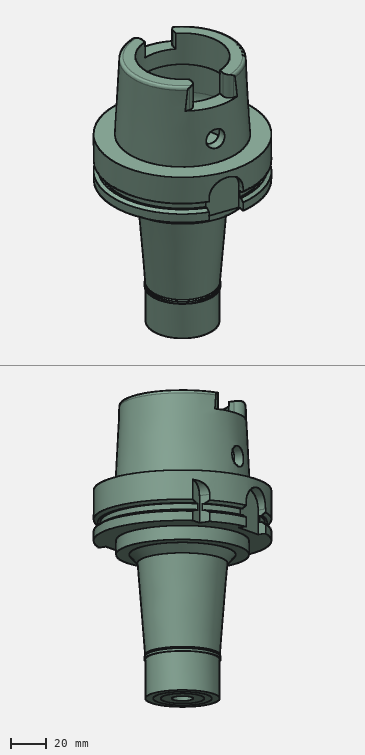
import cadquery as cq
import math


TOTAL_LENGTH = 170.0
SHANK_HEIGHT = 50.0
BOTTOM_Z = SHANK_HEIGHT - TOTAL_LENGTH

SHANK_BASE_R = 38.0
SHANK_TOP_R = 35.5
SHANK_TOP_FILLET = 2.0

DRIVE_SLOT_HALF_WIDTH = 10.0
DRIVE_SLOT_CORNER_R = 4.2
DRIVE_LAND_HALF_LENGTH = 32.1
DRIVE_SLOT_DEPTHS = {-1: 10.0, 1: 15.0}

MOUTH_R = 26.5
MOUTH_DEPTH = 20.0
UNDERCUT_R = 31.5
UNDERCUT_ARC_R = 13.6
UNDERCUT_ARC_DEPTH = 40.5
CAVITY_DEPTH = 60.7
CROSS_HOLE_R = 6.0
CROSS_HOLE_Z = 15.0

FLANGE_R = 50.0
FLANGE_HEIGHT = 29.0
GROOVE_Z = -20.2
GROOVE_R = 46.2
GROOVE_HALF_WIDTH = 1.9
GROOVE_FLANK_R = 47.6
GROOVE_MOUTH_HALF_WIDTH = 3.4

KEYWAY_HALF_WIDTHS = {-1: 10.0, 1: 11.0}
KEYWAY_FLOOR_X = 44.0
KEYWAY_ARCH_Z = -14.8
NOTCH_R = 8.0
NOTCH_CORNER = 31.8
NOTCH_ARCH_Z = -13.3

COLLAR_R = 37.4
COLLAR_END_Z = -37.0
SHOULDER_TOP_R = 30.0
SHOULDER_HEIGHT = 5.0
STEM_TOP_R = 25.3
STEM_END_R = 21.0
STEM_END_Z = -95.0
NOSE_R = 16.5

NUT_GAP = 1.0
NUT_R = 20.9
NUT_RIM_R = 21.5
NUT_RIM_HEIGHT = 1.5
NUT_TOP_Z = STEM_END_Z - NUT_GAP

COLLET_R = 12.2
COLLET_BORE_R = 6.0
COLLET_LENGTH = 42.5


def cylinder(radius, bottom_z, top_z):
    """Solid cylinder on the Z axis."""
    return cq.Workplane("XY").workplane(offset=bottom_z).circle(radius).extrude(top_z - bottom_z)


def revolve_about_z(profile):
    """Full turn of a closed XZ profile about the Z axis."""
    return profile.close().revolve(360, (0, 0, 0), (0, 1, 0))


def holder_blank():
    """Outside of the holder: shank, grooved flange, collar, stem and nose."""
    profile = (
        cq.Workplane("XZ")
        .moveTo(0, BOTTOM_Z)
        .lineTo(NOSE_R, BOTTOM_Z)
        .lineTo(NOSE_R, STEM_END_Z)
        .lineTo(STEM_END_R, STEM_END_Z)
        .lineTo(STEM_TOP_R, COLLAR_END_Z - SHOULDER_HEIGHT)
        .lineTo(SHOULDER_TOP_R, COLLAR_END_Z)
        .lineTo(COLLAR_R, COLLAR_END_Z)
        .lineTo(COLLAR_R, -FLANGE_HEIGHT)
        .lineTo(FLANGE_R, -FLANGE_HEIGHT)
        .lineTo(FLANGE_R, GROOVE_Z - GROOVE_MOUTH_HALF_WIDTH)
        .lineTo(GROOVE_FLANK_R, GROOVE_Z - GROOVE_HALF_WIDTH)
        .lineTo(GROOVE_R, GROOVE_Z - GROOVE_HALF_WIDTH)
        .lineTo(GROOVE_R, GROOVE_Z + GROOVE_HALF_WIDTH)
        .lineTo(GROOVE_FLANK_R, GROOVE_Z + GROOVE_HALF_WIDTH)
        .lineTo(FLANGE_R, GROOVE_Z + GROOVE_MOUTH_HALF_WIDTH)
        .lineTo(FLANGE_R, 0)
        .lineTo(SHANK_BASE_R, 0)
        .lineTo(SHANK_TOP_R, SHANK_HEIGHT)
        .lineTo(0, SHANK_HEIGHT)
    )
    return revolve_about_z(profile).faces(">Z").edges().fillet(SHANK_TOP_FILLET)


def shank_cavity():
    """Bore of the shank, widened behind its mouth by an undercut that runs out in an arc."""
    mouth_end_z = SHANK_HEIGHT - MOUTH_DEPTH
    arc_z = SHANK_HEIGHT - UNDERCUT_ARC_DEPTH
    floor_z = SHANK_HEIGHT - CAVITY_DEPTH
    arc_center_r = UNDERCUT_R - UNDERCUT_ARC_R
    arc_sweep = math.acos((MOUTH_R - arc_center_r) / UNDERCUT_ARC_R)

    def arc_point(angle):
        return (
            arc_center_r + UNDERCUT_ARC_R * math.cos(angle),
            arc_z - UNDERCUT_ARC_R * math.sin(angle),
        )

    profile = (
        cq.Workplane("XZ")
        .moveTo(0, SHANK_HEIGHT)
        .lineTo(MOUTH_R, SHANK_HEIGHT)
        .lineTo(MOUTH_R, mouth_end_z)
        .lineTo(UNDERCUT_R, mouth_end_z)
        .lineTo(UNDERCUT_R, arc_z)
        .threePointArc(arc_point(arc_sweep / 2), arc_point(arc_sweep))
        .lineTo(MOUTH_R, floor_z)
        .lineTo(0, floor_z)
    )
    return revolve_about_z(profile)


def cross_hole():
    """Round hole along X through both walls of the shank."""
    return (
        cq.Workplane("YZ")
        .center(0, CROSS_HOLE_Z)
        .circle(CROSS_HOLE_R)
        .extrude(SHANK_BASE_R, both=True)
    )


def drive_slot(side):
    """Rim slot on one X side, flaring through rounded corners to the outside of the shank."""
    reach = FLANGE_R
    flare_y = DRIVE_SLOT_HALF_WIDTH + DRIVE_SLOT_CORNER_R
    corner_x = DRIVE_LAND_HALF_LENGTH - DRIVE_SLOT_CORNER_R
    arc_offset = DRIVE_SLOT_CORNER_R * math.cos(math.radians(45))
    arc_x = corner_x + arc_offset
    arc_y = flare_y - arc_offset
    return (
        cq.Workplane("XY")
        .workplane(offset=SHANK_HEIGHT - DRIVE_SLOT_DEPTHS[side])
        .moveTo(0, DRIVE_SLOT_HALF_WIDTH)
        .lineTo(side * corner_x, DRIVE_SLOT_HALF_WIDTH)
        .threePointArc((side * arc_x, arc_y), (side * DRIVE_LAND_HALF_LENGTH, flare_y))
        .lineTo(side * DRIVE_LAND_HALF_LENGTH, reach)
        .lineTo(side * reach, reach)
        .lineTo(side * reach, -reach)
        .lineTo(side * DRIVE_LAND_HALF_LENGTH, -reach)
        .lineTo(side * DRIVE_LAND_HALF_LENGTH, -flare_y)
        .threePointArc((side * arc_x, -arc_y), (side * corner_x, -DRIVE_SLOT_HALF_WIDTH))
        .lineTo(0, -DRIVE_SLOT_HALF_WIDTH)
        .close()
        .extrude(DRIVE_SLOT_DEPTHS[side])
    )


def arched_slot(side, floor_x, center_y, arch_z, radius):
    """Slot open at the flange underside and rounded at its top, cut outward along X from a flat floor."""
    return (
        cq.Workplane("YZ")
        .workplane(offset=side * floor_x)
        .moveTo(center_y - radius, -FLANGE_HEIGHT)
        .lineTo(center_y - radius, arch_z)
        .threePointArc((center_y, arch_z + radius), (center_y + radius, arch_z))
        .lineTo(center_y + radius, -FLANGE_HEIGHT)
        .close()
        .extrude(side * FLANGE_R)
    )


def make_holder():
    holder = holder_blank().cut(shank_cavity()).cut(cross_hole())
    for side in DRIVE_SLOT_DEPTHS:
        holder = holder.cut(drive_slot(side))
        holder = holder.cut(arched_slot(side, KEYWAY_FLOOR_X, 0, KEYWAY_ARCH_Z, KEYWAY_HALF_WIDTHS[side]))
    holder = holder.cut(arched_slot(-1, NOTCH_CORNER, NOTCH_CORNER + NOTCH_R, NOTCH_ARCH_Z, NOTCH_R))
    return holder.cut(cylinder(COLLET_R, BOTTOM_Z, 0))


def make_nut():
    """Sleeve with a slightly wider rim at its top, fitted around the holder nose."""
    barrel = cylinder(NUT_R, BOTTOM_Z, NUT_TOP_Z)
    rim = cylinder(NUT_RIM_R, NUT_TOP_Z - NUT_RIM_HEIGHT, NUT_TOP_Z)
    return barrel.union(rim).cut(cylinder(NOSE_R, BOTTOM_Z, NUT_TOP_Z))


def make_collet():
    """Tube that fills the lower end of the holder bore and carries the tool bore."""
    collet_top_z = BOTTOM_Z + COLLET_LENGTH
    body = cylinder(COLLET_R, BOTTOM_Z, collet_top_z)
    return body.cut(cylinder(COLLET_BORE_R, BOTTOM_Z, collet_top_z))


holder = make_holder()
nut = make_nut()
collet = make_collet()

result = cq.Compound.makeCompound([holder.val(), nut.val(), collet.val()])